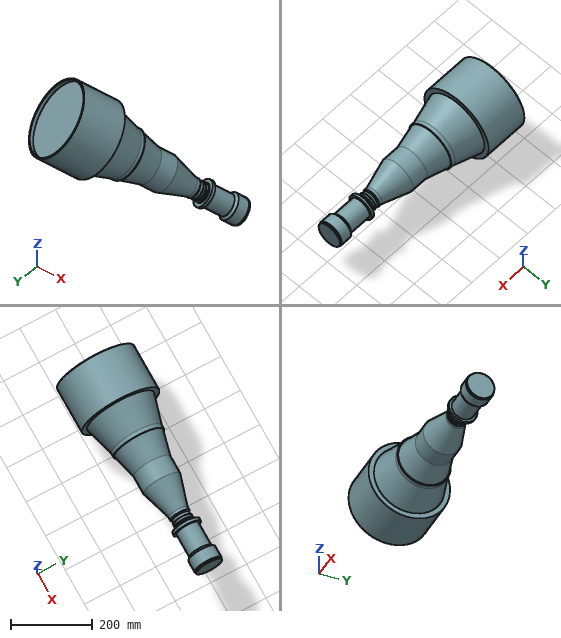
import cadquery as cq

LENGTH = 584.0

DRUM_DIAMETER = 218.0
DRUM_END = 128.5
RECESS_DIAMETER = 209.0
RECESS_DEPTH = 10.5

FIRST_TAPER_DIAMETER = 189.0
COLLAR_DIAMETER = 143.0
COLLAR_START = 210.0
COLLAR_END = 222.5
SECOND_TAPER_DIAMETER = 138.0
BARREL_DIAMETER = 104.5
BARREL_START = 289.5
BARREL_END = 340.5

NECK_DIAMETER = 54.0
NECK_START = 424.0
GROOVE_DIAMETER = 48.5
GROOVE_START = 433.0
GROOVE_END = 460.0
GROOVE_SLOPE_LENGTH = 3.5
RING_DIAMETER = 52.5
RING_START = 445.5
RING_WIDTH = 7.5

FLANGE_DIAMETER = 76.5
FLANGE_START = 463.5
FLANGE_WIDTH = 9.0
SPINDLE_DIAMETER = 62.5

HEAD_DIAMETER = FLANGE_DIAMETER
SHOULDER_START = 539.0
SHOULDER_LENGTH = (HEAD_DIAMETER - SPINDLE_DIAMETER) / 2
BEVEL_START = 578.5
BEVEL = 2.0
TIP_DIAMETER = HEAD_DIAMETER - 2 * BEVEL


def revolved_body(profile):
    """Revolve a list of (x, diameter) stations, closed along the X axis."""
    outline = [(x, diameter / 2) for x, diameter in profile]
    return cq.Workplane("XZ").polyline(outline).close().revolve(360, (0, 0, 0), (1, 0, 0))


recessed_drum = [
    (RECESS_DEPTH, 0),
    (RECESS_DEPTH, RECESS_DIAMETER),
    (0, RECESS_DIAMETER),
    (0, DRUM_DIAMETER),
    (DRUM_END, DRUM_DIAMETER),
]

tapers_and_barrel = [
    (DRUM_END, FIRST_TAPER_DIAMETER),
    (COLLAR_START, COLLAR_DIAMETER),
    (COLLAR_END, COLLAR_DIAMETER),
    (COLLAR_END, SECOND_TAPER_DIAMETER),
    (BARREL_START, BARREL_DIAMETER),
    (BARREL_END, BARREL_DIAMETER),
]

neck = [
    (NECK_START, NECK_DIAMETER),
    (GROOVE_START, NECK_DIAMETER),
    (GROOVE_START + GROOVE_SLOPE_LENGTH, GROOVE_DIAMETER),
    (RING_START, GROOVE_DIAMETER),
    (RING_START, RING_DIAMETER),
    (RING_START + RING_WIDTH, RING_DIAMETER),
    (RING_START + RING_WIDTH, GROOVE_DIAMETER),
    (GROOVE_END - GROOVE_SLOPE_LENGTH, GROOVE_DIAMETER),
    (GROOVE_END, NECK_DIAMETER),
    (FLANGE_START, NECK_DIAMETER),
]

flange_and_spindle = [
    (FLANGE_START, FLANGE_DIAMETER),
    (FLANGE_START + FLANGE_WIDTH, FLANGE_DIAMETER),
    (FLANGE_START + FLANGE_WIDTH, SPINDLE_DIAMETER),
    (SHOULDER_START, SPINDLE_DIAMETER),
]

head = [
    (SHOULDER_START + SHOULDER_LENGTH, HEAD_DIAMETER),
    (BEVEL_START, HEAD_DIAMETER),
    (BEVEL_START + BEVEL, TIP_DIAMETER),
    (LENGTH, TIP_DIAMETER),
    (LENGTH, 0),
]

result = revolved_body(recessed_drum + tapers_and_barrel + neck + flange_and_spindle + head)